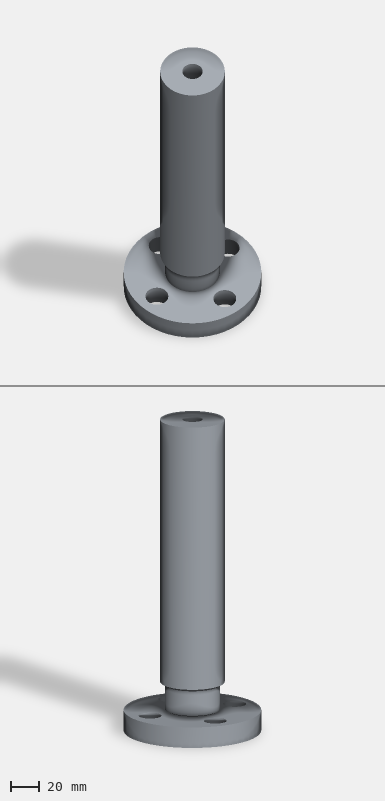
import cadquery as cq
import math

total_height = 222.2

flange_diameter = 95.1
flange_thickness = 14.7
bolt_hole_diameter = 15.8
bolt_circle_diameter = 66.5
bolt_hole_count = 4

neck_diameter = 38.0
stem_diameter = 44.7
neck_length = 18.2
taper_angle = 30.0
undercut_height = 0.7

bore_diameter = 14.0

taper_slope = math.tan(math.radians(taper_angle))
neck_foot_radius = neck_diameter / 2 - undercut_height / taper_slope
neck_top = flange_thickness + neck_length
stem_base = neck_top + (stem_diameter - neck_diameter) / 2 * taper_slope


def turned_body():
    """Flange, undercut neck, tapered shoulder and stem revolved about Z."""
    profile = (
        cq.Workplane("XZ")
        .lineTo(flange_diameter / 2, 0)
        .lineTo(flange_diameter / 2, flange_thickness)
        .lineTo(neck_foot_radius, flange_thickness)
        .lineTo(neck_diameter / 2, flange_thickness + undercut_height)
        .lineTo(neck_diameter / 2, neck_top)
        .lineTo(stem_diameter / 2, stem_base)
        .lineTo(stem_diameter / 2, total_height)
        .lineTo(0, total_height)
        .close()
    )
    return profile.revolve(360, (0, 0, 0), (0, 1, 0))


def bolt_holes():
    """Through holes evenly spaced on the bolt circle, the first on +X."""
    return (
        cq.Workplane("XY")
        .polarArray(bolt_circle_diameter / 2, 0, 360, bolt_hole_count)
        .circle(bolt_hole_diameter / 2)
        .extrude(flange_thickness)
    )


def bore():
    """Central hole from end to end."""
    return cq.Workplane("XY").circle(bore_diameter / 2).extrude(total_height)


result = turned_body().cut(bolt_holes()).cut(bore())